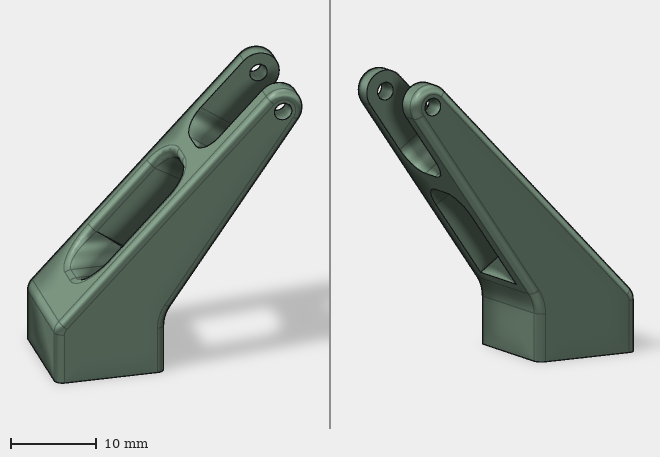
import cadquery as cq
import math

width = 13.8
height = 34.28
base_depth = 13.2
base_height = 7.0
head_radius = 2.5
overall_depth = 29.9
head_y = overall_depth - head_radius
head_z = height - head_radius
pin_diameter = 2.1

front_corner_radius = 2.0
rear_corner_radius = 4.1
edge_radius = 1.0

slot_width = 8.33
slot_corner_radius = 3.0
window_bottom_station = 2.45
window_top_station = 15.97
window_top_tilt = 4.3
fork_floor_station = 18.48
fork_top_station = 41.15
window_floor_z = 10.63
window_front_top_z = 15.43

cut_reach = 20.57

rim_tolerance = 0.005


def tangent_angle(start_y, side):
    """Angle of the line from a base corner tangent to the head, on the chosen side of it."""
    rise = head_z - base_height
    run = head_y - start_y
    return math.atan2(rise, run) + side * math.asin(head_radius / math.hypot(rise, run))


front_angle = tangent_angle(0, 1)
rear_angle = tangent_angle(base_depth, -1)


def head_point(angle):
    return (head_y + head_radius * math.cos(angle), head_z + head_radius * math.sin(angle))


def make_body():
    """Side profile extruded across the width, with rounded bends and side edges."""
    front_tangent = front_angle + math.pi / 2
    rear_tangent = rear_angle - math.pi / 2
    body = (
        cq.Workplane("YZ")
        .polyline([head_point(rear_tangent), (base_depth, base_height), (base_depth, 0),
                   (0, 0), (0, base_height), head_point(front_tangent)])
        .threePointArc(head_point((front_tangent + rear_tangent) / 2), head_point(rear_tangent))
        .close()
        .extrude(width / 2, both=True)
    )
    corner = cq.selectors.NearestToPointSelector
    body = body.edges(corner((0, 0, base_height))).fillet(front_corner_radius)
    body = body.edges(corner((0, base_depth, base_height))).fillet(rear_corner_radius)
    outline_edges = body.faces("<X or >X").edges().filter(lambda edge: edge.Center().z > 0)
    return outline_edges.fillet(edge_radius)


def rear_point(station, depth):
    """YZ position at a station up the rear face and a depth square to it, into the body."""
    cos_rear, sin_rear = math.cos(rear_angle), math.sin(rear_angle)
    return (base_depth + station * cos_rear - depth * sin_rear,
            base_height + station * sin_rear + depth * cos_rear)


def rear_slot(bottom_station, top_station, rounded_station, end_tilt=0.0):
    """Slot cutter through the rear face, with corner radii at its rounded end.

    The rounded end leans toward the base by end_tilt degrees as it goes deeper.
    """
    lean = cut_reach * math.tan(math.radians(end_tilt))
    stations = [bottom_station, top_station]
    leans = [lean if station == rounded_station else 0.0 for station in stations]
    outline = [
        rear_point(bottom_station - leans[0], cut_reach),
        rear_point(top_station - leans[1], cut_reach),
        rear_point(top_station + leans[1], -cut_reach),
        rear_point(bottom_station + leans[0], -cut_reach),
    ]
    rounded_middle = rear_point(rounded_station, 0)
    return (
        cq.Workplane("YZ")
        .polyline(outline)
        .close()
        .extrude(slot_width / 2, both=True)
        .faces(cq.selectors.NearestToPointSelector((0, *rounded_middle)))
        .edges("not |X")
        .fillet(slot_corner_radius)
    )


def front_slot():
    """Level slot cutter that extends the window down to its flat floor."""
    return (
        cq.Workplane("XZ")
        .center(0, (window_floor_z + window_front_top_z) / 2)
        .rect(slot_width, window_front_top_z - window_floor_z)
        .extrude(base_depth)
        .translate((0, base_depth, 0))
        .faces("<Z")
        .edges("|Y")
        .fillet(slot_corner_radius)
    )


def is_window_rim(edge):
    """True for edges of the window that lie in the sloping front face."""
    def on_front_face(point):
        offset = point.z - base_height - point.y * math.tan(front_angle)
        return abs(offset) < rim_tolerance

    points = [edge.positionAt(t) for t in (0, 0.5, 1)]
    inside_slot = all(abs(point.x) < slot_width / 2 + rim_tolerance for point in points)
    return inside_slot and all(map(on_front_face, points))


window = rear_slot(
    window_bottom_station, window_top_station, window_top_station, window_top_tilt
).union(front_slot())
body = make_body().cut(window)
body = body.edges().filter(is_window_rim).fillet(edge_radius)

fork = rear_slot(fork_floor_station, fork_top_station, fork_floor_station)
pin_hole = (
    cq.Workplane("YZ")
    .center(head_y, head_z)
    .circle(pin_diameter / 2)
    .extrude(width / 2, both=True)
)
result = body.cut(fork).cut(pin_hole)